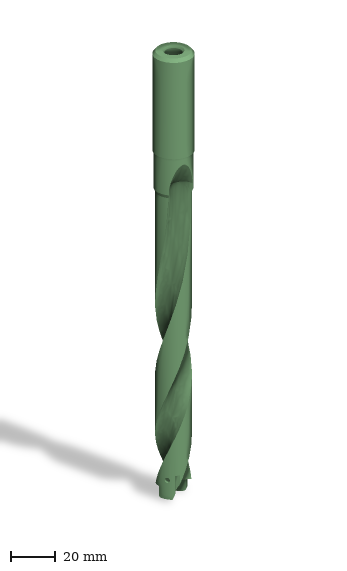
import cadquery as cq
import math

total_length = 223.6
neck_top_z = 173.5
neck_bottom_z = 153.2
flute_top_z = 158.1
shoulder_z = 6.7

shank_diameter = 19.0
neck_diameter = 18.1
drill_diameter = 16.5
shank_chamfer_length = 1.5
shank_chamfer_depth = 1.3
neck_cone_length = 1.8

flat_top_z = 216.7
flat_bottom_z = 181.8
flat_depth = 1.3

inlet_diameter = 8.0
inlet_chamfer = 1.0
inlet_depth = 11.2
inlet_cone_angle = 118.0
coolant_diameter = 2.0
coolant_exit_diameter = 1.5
coolant_exit_z = 17.2

flute_count = 2
web_thickness = 4.5
flute_radius = 6.5
total_twist = 315.0
crossing_z = 11.6
guide_step_count = 48
flute_overrun = 2.2
runout_length = 11.9

fork_slot_width = 7.4
fork_width = 9.6
fork_corner_radius = 2.0
tip_cone_height = 1.3
gash_top_z = 13.5
gash_wall_x = 3.0
gash_floor_y = 6.7

screw_diameter = 2.5
screw_x = -0.7
screw_z = 11.0
screw_outer_y = 6.7
screw_length = 4.5

shank_radius = shank_diameter / 2
neck_radius = neck_diameter / 2
drill_radius = drill_diameter / 2
flute_offset = web_thickness / 2 + flute_radius
flute_angles = [360.0 / flute_count * i for i in range(flute_count)]


def twist_angle(z):
    """Angle in degrees of the first flute about Z; its rate fades to zero at the flute top."""
    twist_height = flute_top_z - crossing_z
    fraction = (z - crossing_z) / twist_height
    return total_twist * (1.5 * fraction - 0.5 * fraction**3)


def guide_point(z):
    """Point at height z on the curve that turns with the first flute."""
    direction = math.radians(twist_angle(z))
    return cq.Vector(flute_offset * math.cos(direction), flute_offset * math.sin(direction), z)


def flute_outline(z):
    """Round cutter outline of the first flute, its start point on the web."""
    web_point = cq.Vector(-web_thickness / 2, 0, z)
    far_point = cq.Vector(-web_thickness / 2 - 2 * flute_radius, 0, z)
    halves = [
        cq.Edge.makeThreePointArc(web_point, cq.Vector(-flute_offset, side * flute_radius, z), far_point)
        for side in (-1, 1)
    ]
    outline = cq.Wire.assembleEdges(halves)
    return outline.rotate(cq.Vector(0, 0, 0), cq.Vector(0, 0, 1), 180.0 + twist_angle(z))


def make_turned_blank():
    outline = [
        (0, 0),
        (fork_slot_width / 2, 0),
        (drill_radius, tip_cone_height),
        (drill_radius, neck_bottom_z),
        (neck_radius, neck_bottom_z + neck_cone_length),
        (neck_radius, neck_top_z),
        (shank_radius, neck_top_z),
        (shank_radius, total_length - shank_chamfer_length),
        (shank_radius - shank_chamfer_depth, total_length),
        (0, total_length),
    ]
    return cq.Workplane("XZ").polyline(outline).close().revolve(360, (0, 0), (0, 1))


def make_shank_flat():
    return (
        cq.Workplane("XY", origin=(0, shank_radius - flat_depth, flat_bottom_z))
        .box(shank_diameter, shank_diameter, flat_top_z - flat_bottom_z, centered=(True, False, False))
    )


def make_coolant_bore():
    inlet_radius = inlet_diameter / 2
    channel_radius = coolant_diameter / 2
    inlet_bottom_z = total_length - inlet_depth
    cone_length = (inlet_radius - channel_radius) / math.tan(math.radians(inlet_cone_angle / 2))
    outline = [
        (0, coolant_exit_z),
        (channel_radius, coolant_exit_z),
        (channel_radius, inlet_bottom_z - cone_length),
        (inlet_radius, inlet_bottom_z),
        (inlet_radius, total_length - inlet_chamfer),
        (inlet_radius + inlet_chamfer, total_length),
        (0, total_length),
    ]
    return cq.Workplane("XZ").polyline(outline).close().revolve(360, (0, 0), (0, 1))


def make_coolant_exits():
    return (
        cq.Workplane("YZ", origin=(0, 0, coolant_exit_z))
        .circle(coolant_exit_diameter / 2)
        .extrude(flute_offset, both=True)
        .rotate((0, 0, 0), (0, 0, 1), twist_angle(coolant_exit_z))
    )


def make_flute_cutter():
    """Round cutter carried down the axis and turned by a guide curve of varying lead."""
    axis = cq.Edge.makeLine(cq.Vector(0, 0, flute_top_z), cq.Vector(0, 0, -flute_overrun))
    step = (flute_top_z + flute_overrun) / guide_step_count
    heights = [flute_top_z - step * i for i in range(guide_step_count + 1)]
    guide = cq.Wire.assembleEdges([cq.Edge.makeSpline([guide_point(z) for z in heights])])
    path = cq.Wire.assembleEdges([axis])
    return cq.Workplane(cq.Solid.sweep(flute_outline(flute_top_z), [], path, True, False, guide))


def make_flute_runout():
    """Slanted end of the first flute, from the web out to the neck surface."""
    direction = math.radians(twist_angle(flute_top_z))
    rise = neck_radius - web_thickness / 2
    climb = cq.Vector(rise * math.cos(direction), rise * math.sin(direction), runout_length)
    return cq.Workplane(cq.Solid.extrudeLinear(flute_outline(flute_top_z), [], climb * 2))


def make_fork_cutter():
    """Everything to remove below the shoulder to leave the two prongs."""
    prongs = (
        cq.Workplane("XY")
        .box(fork_width, drill_diameter, shoulder_z, centered=(True, True, False))
        .edges("<Z and |Y")
        .fillet(fork_corner_radius)
    )
    slot = cq.Workplane("XY").box(
        drill_diameter, fork_slot_width, shoulder_z, centered=(True, True, False)
    )
    whole_end = cq.Workplane("XY").circle(drill_diameter).extrude(shoulder_z)
    return whole_end.cut(prongs.cut(slot))


def make_gash():
    """Notch at the leading edge of the -Y prong."""
    return cq.Workplane("XY", origin=(gash_wall_x, -gash_floor_y - drill_radius, 0)).box(
        drill_radius, drill_radius, gash_top_z, centered=False
    )


def make_screw_cylinder(inner_y, outer_y):
    return (
        cq.Workplane("XZ", origin=(screw_x, -inner_y, screw_z))
        .circle(screw_diameter / 2)
        .extrude(outer_y - inner_y)
    )


def make_holder():
    holder = make_turned_blank().cut(make_shank_flat())
    fluting = [make_flute_cutter(), make_flute_runout()]
    screw_hole = make_screw_cylinder(screw_outer_y - screw_length, drill_diameter)
    for angle in flute_angles:
        for cutter in [*fluting, make_gash(), screw_hole]:
            holder = holder.cut(cutter.rotate((0, 0, 0), (0, 0, 1), angle))
    return holder.cut(make_fork_cutter()).cut(make_coolant_bore()).cut(make_coolant_exits())


def make_screw(angle):
    screw = make_screw_cylinder(screw_outer_y - screw_length, screw_outer_y)
    return screw.rotate((0, 0, 0), (0, 0, 1), angle)


holder = make_holder()
screws = [make_screw(angle) for angle in flute_angles]

result = cq.Compound.makeCompound([holder.val(), *[screw.val() for screw in screws]])